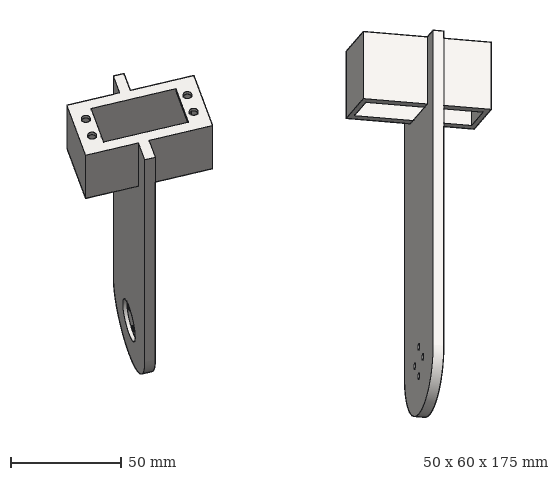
import cadquery as cq

total_height = 175.0
arm_width = 50.0
arm_thickness = 5.0
end_radius = arm_width / 2

socket_width = 30.0
socket_depth = 60.0
socket_height = 32.0
window_width = 20.0
window_depth = 40.0
chamber_depth = 55.0
lip_height = 2.0
screw_diameter = 4.0
screw_spacing_x = 10.0
screw_spacing_y = 48.0

seat_diameter = 20.0
seat_recess = 2.0
ring_hole_diameter = 3.0
ring_radius = 7.0
ring_hole_count = 4

top_z = total_height - end_radius
socket_bottom_z = top_z - socket_height


def make_arm():
    """Flat arm with a semicircular lower end."""
    return (
        cq.Workplane("XZ")
        .moveTo(-end_radius, top_z)
        .lineTo(-end_radius, 0)
        .threePointArc((0, -end_radius), (end_radius, 0))
        .lineTo(end_radius, top_z)
        .close()
        .extrude(arm_thickness)
    )


def make_socket_block():
    """Solid block centred on the back face of the arm."""
    return (
        cq.Workplane("XY", origin=(0, 0, socket_bottom_z))
        .rect(socket_width, socket_depth)
        .extrude(socket_height)
    )


def make_socket_openings():
    """Window and four screw holes in the top lip, over a deeper chamber open at the bottom."""
    base = cq.Workplane("XY", origin=(0, 0, socket_bottom_z))
    window = base.rect(window_width, window_depth).extrude(socket_height)
    chamber = base.rect(window_width, chamber_depth).extrude(socket_height - lip_height)
    screws = (
        base.rect(screw_spacing_x, screw_spacing_y, forConstruction=True)
        .vertices()
        .circle(screw_diameter / 2)
        .extrude(socket_height)
    )
    return window.union(chamber).union(screws)


def make_seat_cut():
    """Shallow round recess and a ring of holes through the arm."""
    front = cq.Workplane("XZ", origin=(0, -arm_thickness, 0))
    recess = front.circle(seat_diameter / 2).extrude(-seat_recess)
    holes = (
        front.polarArray(ring_radius, 0, 360, ring_hole_count)
        .circle(ring_hole_diameter / 2)
        .extrude(-arm_thickness)
    )
    return recess.union(holes)


result = make_arm().union(make_socket_block()).cut(make_socket_openings()).cut(make_seat_cut())